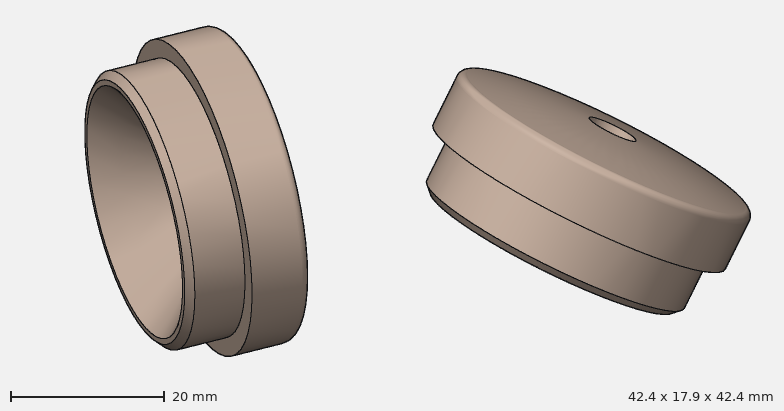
import cadquery as cq
import math

flange_radius = 21.2
spigot_radius = 37.4 / 2
bore_radius = 6.8 / 2
cone_mouth_radius = 33.85 / 2
spigot_length = 8.0
flange_height = 8.1
total_length = 17.9
edge_size = 1.0
cone_depth = 13.53

front_y = -total_length / 2
back_y = front_y + total_length
shoulder_y = front_y + spigot_length
dome_base_y = shoulder_y + flange_height
dome_base_radius = flange_radius - edge_size

dome_rise = back_y - dome_base_y
dome_center_y = (
    (back_y**2 + bore_radius**2 - dome_base_y**2 - dome_base_radius**2) / (2 * dome_rise)
)
dome_radius = math.hypot(bore_radius, back_y - dome_center_y)
dome_mid_radius = (dome_base_radius + bore_radius) / 2
dome_mid_y = dome_center_y + math.sqrt(dome_radius**2 - dome_mid_radius**2)

rounding_mid = edge_size * math.sqrt(0.5)
rounding_mid_point = (
    dome_base_radius + rounding_mid,
    dome_base_y - edge_size + rounding_mid,
)

half_section = (
    cq.Workplane("XY")
    .moveTo(cone_mouth_radius, front_y)
    .lineTo(spigot_radius - edge_size, front_y)
    .lineTo(spigot_radius, front_y + edge_size)
    .lineTo(spigot_radius, shoulder_y)
    .lineTo(flange_radius, shoulder_y)
    .lineTo(flange_radius, dome_base_y - edge_size)
    .threePointArc(rounding_mid_point, (dome_base_radius, dome_base_y))
    .threePointArc((dome_mid_radius, dome_mid_y), (bore_radius, back_y))
    .lineTo(bore_radius, front_y + cone_depth)
    .close()
)

result = half_section.revolve(360, (0, 0, 0), (0, 1, 0))